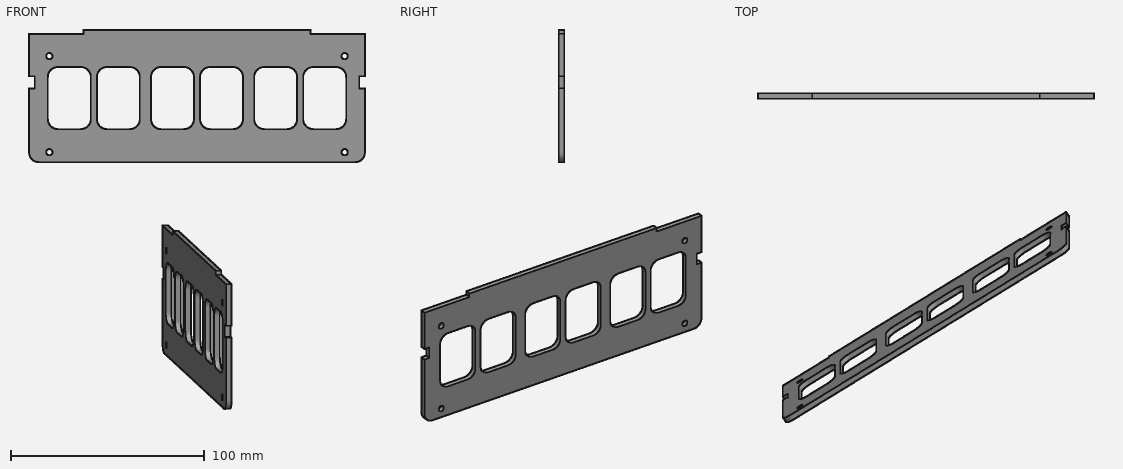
import cadquery as cq

length = 173.5
thickness = 3.0
height = 68.3
bottom_corner_radius = 5.0

tab_length = 117.5
tab_rise = 2.0

notch_depth = 3.0
notch_height = 6.2
notch_center_z = 41.3

hole_diameter = 3.1
hole_spacing_x = 152.5
hole_spacing_z = 49.6
lower_hole_z = 5.2

window_width = 22.0
window_height = 32.0
window_corner_radius = 5.0
window_bottom_z = 17.2
window_pitch = 25.3
pair_count = 3
pair_pitch = 53.3


def box_on_xz(width, box_height, center_x, bottom_z):
    """Box as thick as the plate, centred on Y = 0, standing on bottom_z."""
    box = cq.Workplane("XY").box(width, thickness, box_height, centered=(True, True, False))
    return box.translate((center_x, 0, bottom_z))


def make_plate():
    """Plate with rounded bottom corners and a raised tab on the top edge."""
    body = box_on_xz(length, height - tab_rise, 0, 0)
    body = body.faces("<Z").edges("|Y").fillet(bottom_corner_radius)
    return body.union(box_on_xz(tab_length, height, 0, 0))


def make_window(center_x):
    window = box_on_xz(window_width, window_height, center_x, window_bottom_z)
    return window.edges("|Y").fillet(window_corner_radius)


def make_hole(center_x, center_z):
    hole = cq.Workplane("XZ").circle(hole_diameter / 2).extrude(thickness / 2, both=True)
    return hole.translate((center_x, 0, center_z))


result = make_plate()

for pair in range(pair_count):
    pair_x = (pair - (pair_count - 1) / 2) * pair_pitch
    for side in (-1, 1):
        result = result.cut(make_window(pair_x + side * window_pitch / 2))

for side in (-1, 1):
    notch_x = side * (length - notch_depth) / 2
    notch_bottom_z = notch_center_z - notch_height / 2
    result = result.cut(box_on_xz(notch_depth, notch_height, notch_x, notch_bottom_z))
    for hole_z in (lower_hole_z, lower_hole_z + hole_spacing_z):
        result = result.cut(make_hole(side * hole_spacing_x / 2, hole_z))